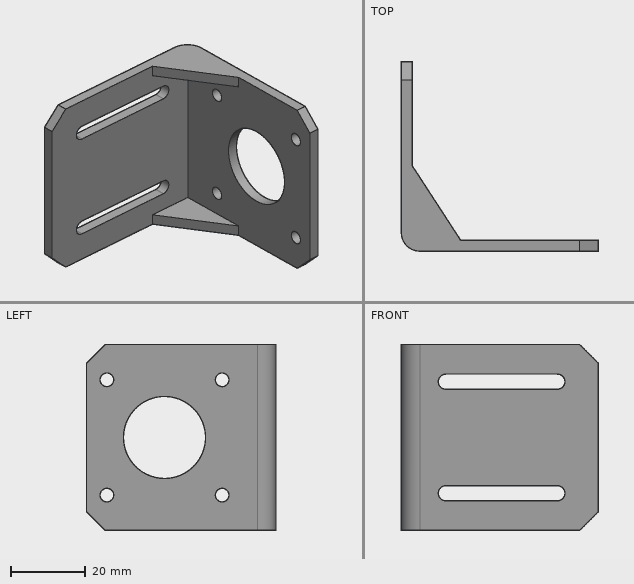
import cadquery as cq

length_x = 53.0
length_y = 51.0
height = 50.0
thickness = 3.0
bend_radius = 5.0
corner_chamfer = 5.0

gusset_reach_x = 16.0
gusset_reach_y = 23.0
gusset_thickness = 3.0

bore_diameter = 22.0
bore_center_y = 30.0
screw_diameter = 3.6
screw_spacing = 31.0

slot_length = 34.0
slot_width = 4.0
slot_start_x = 10.0
slot_spacing = 30.0

mid_height = height / 2


def angle_plates():
    """L-shaped bracket with a rounded outer bend and cropped free corners."""
    plates = (
        cq.Workplane("XY")
        .polyline([
            (0, 0),
            (length_x, 0),
            (length_x, thickness),
            (thickness, thickness),
            (thickness, length_y),
            (0, length_y),
        ])
        .close()
        .extrude(height)
    )
    plates = plates.edges("|Z and <X and <Y").fillet(bend_radius)
    plates = plates.faces(">X").edges("|Y").chamfer(corner_chamfer)
    return plates.faces(">Y").edges("|X").chamfer(corner_chamfer)


def gusset(base_z):
    """Triangular web tying the two plates together, starting at base_z."""
    return (
        cq.Workplane("XY", origin=(0, 0, base_z))
        .polyline([
            (thickness, thickness),
            (gusset_reach_x, thickness),
            (thickness, gusset_reach_y),
        ])
        .close()
        .extrude(gusset_thickness)
    )


def motor_holes():
    """Cutters for the central bore and the square pattern of screw holes."""
    face = cq.Workplane("YZ").center(bore_center_y, mid_height)
    bore = face.circle(bore_diameter / 2).extrude(thickness)
    screws = (
        face.rect(screw_spacing, screw_spacing, forConstruction=True)
        .vertices()
        .circle(screw_diameter / 2)
        .extrude(thickness)
    )
    return bore.union(screws)


def adjustment_slots():
    """Cutters for the two parallel round-ended slots."""
    slot_center_x = slot_start_x + slot_length / 2
    return (
        cq.Workplane("XZ")
        .center(slot_center_x, mid_height)
        .pushPoints([(0, -slot_spacing / 2), (0, slot_spacing / 2)])
        .slot2D(slot_length, slot_width)
        .extrude(-thickness)
    )


result = angle_plates()
for base_z in (0, height - gusset_thickness):
    result = result.union(gusset(base_z))
result = result.cut(motor_holes()).cut(adjustment_slots())